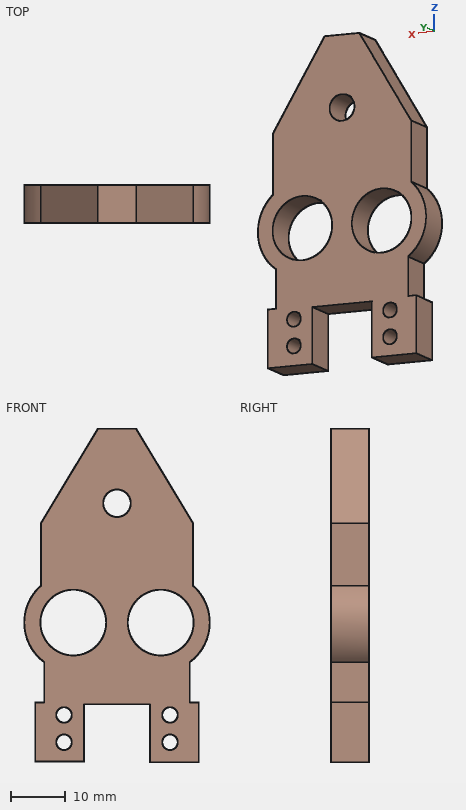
import cadquery as cq
import math

thickness = 7.0
height = 61.1

tip_width = 7.0
body_width = 27.9
taper_height = 17.3
head_hole_diameter = 5.0
head_hole_drop = 13.65

bore_diameter = 12.0
bore_spacing = 16.0
bore_z = 25.6
lobe_wall = 3.0
lobe_radius = bore_diameter / 2 + lobe_wall

waist_width = 26.7
foot_span = 30.0
foot_top_z = 11.0
slot_width = 12.0
slot_top_z = 10.65
left_foot_lift = 0.15

foot_hole_diameter = 2.8
foot_hole_spacing_x = 19.4
foot_hole_pitch_z = 5.0
lower_foot_hole_z = 3.7


def back_face():
    """Workplane on the +Y face of the plate; extrusions run from it toward -Y."""
    return cq.Workplane("XZ", origin=(0, thickness / 2, 0))


def lobe_rise(edge_width):
    """Height above the bore axis at which a lobe meets a side edge of the given width."""
    run = (edge_width - bore_spacing) / 2
    return math.sqrt(lobe_radius**2 - run**2)


def make_plate():
    """Solid plate, drawn as one outline starting at the left end of the tip."""
    tip_x = tip_width / 2
    body_x = body_width / 2
    waist_x = waist_width / 2
    foot_x = foot_span / 2
    slot_x = slot_width / 2
    lobe_x = bore_spacing / 2 + lobe_radius
    shoulder_z = height - taper_height
    lobe_top_z = bore_z + lobe_rise(body_width)
    lobe_bottom_z = bore_z - lobe_rise(waist_width)

    outline = (
        back_face()
        .moveTo(-tip_x, height)
        .lineTo(tip_x, height)
        .lineTo(body_x, shoulder_z)
        .lineTo(body_x, lobe_top_z)
        .threePointArc((lobe_x, bore_z), (waist_x, lobe_bottom_z))
        .lineTo(waist_x, foot_top_z)
        .lineTo(foot_x, foot_top_z)
        .lineTo(foot_x, 0)
        .lineTo(slot_x, 0)
        .lineTo(slot_x, slot_top_z)
        .lineTo(-slot_x, slot_top_z)
        .lineTo(-slot_x, left_foot_lift)
        .lineTo(-foot_x, left_foot_lift)
        .lineTo(-foot_x, foot_top_z)
        .lineTo(-waist_x, foot_top_z)
        .lineTo(-waist_x, lobe_bottom_z)
        .threePointArc((-lobe_x, bore_z), (-body_x, lobe_top_z))
        .lineTo(-body_x, shoulder_z)
        .close()
    )
    return outline.extrude(thickness)


def through_holes(points, diameter):
    """Cylinders along Y through the whole plate at the given (x, z) points."""
    return back_face().pushPoints(points).circle(diameter / 2).extrude(thickness)


bore_points = [(side * bore_spacing / 2, bore_z) for side in (-1, 1)]
foot_hole_points = [
    (side * foot_hole_spacing_x / 2, lower_foot_hole_z + row * foot_hole_pitch_z)
    for side in (-1, 1)
    for row in (0, 1)
]
head_hole_points = [(0, height - head_hole_drop)]

result = (
    make_plate()
    .cut(through_holes(bore_points, bore_diameter))
    .cut(through_holes(foot_hole_points, foot_hole_diameter))
    .cut(through_holes(head_hole_points, head_hole_diameter))
)